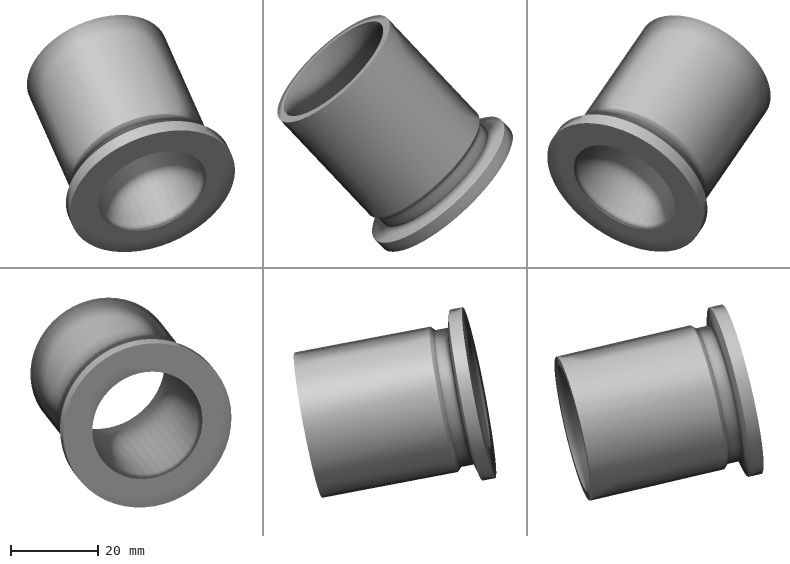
import cadquery as cq
import math

total_length = 40.0

tube_diameter = 34.0
tube_length = 31.8
bore_diameter = 30.0

groove_diameter = 32.0
groove_start = tube_length + (tube_diameter - groove_diameter) / 2
groove_end = 35.9

flange_diameter = 40.0
flange_back_angle = 15.0
flange_rim_fillet = 0.2
flange_radial_height = (flange_diameter - groove_diameter) / 2
flange_rim_start = groove_end + flange_radial_height * math.tan(math.radians(flange_back_angle))

opening_diameter = 26.2
bore_taper_start = total_length - (bore_diameter - opening_diameter) / 2

outer_profile = [
    (0, tube_diameter / 2),
    (tube_length, tube_diameter / 2),
    (groove_start, groove_diameter / 2),
    (groove_end, groove_diameter / 2),
    (flange_rim_start, flange_diameter / 2),
    (total_length, flange_diameter / 2),
]
bore_profile = [
    (total_length, opening_diameter / 2),
    (bore_taper_start, bore_diameter / 2),
    (0, bore_diameter / 2),
]

body = (
    cq.Workplane("XY")
    .polyline(outer_profile + bore_profile)
    .close()
    .revolve(360, (0, 0, 0), (1, 0, 0))
)

slab_half_thickness = 0.05
slab_half_width = flange_diameter
rim_edge = cq.selectors.BoxSelector(
    (flange_rim_start - slab_half_thickness, -slab_half_width, -slab_half_width),
    (flange_rim_start + slab_half_thickness, slab_half_width, slab_half_width),
    boundingbox=True,
)
result = body.edges(rim_edge).fillet(flange_rim_fillet)